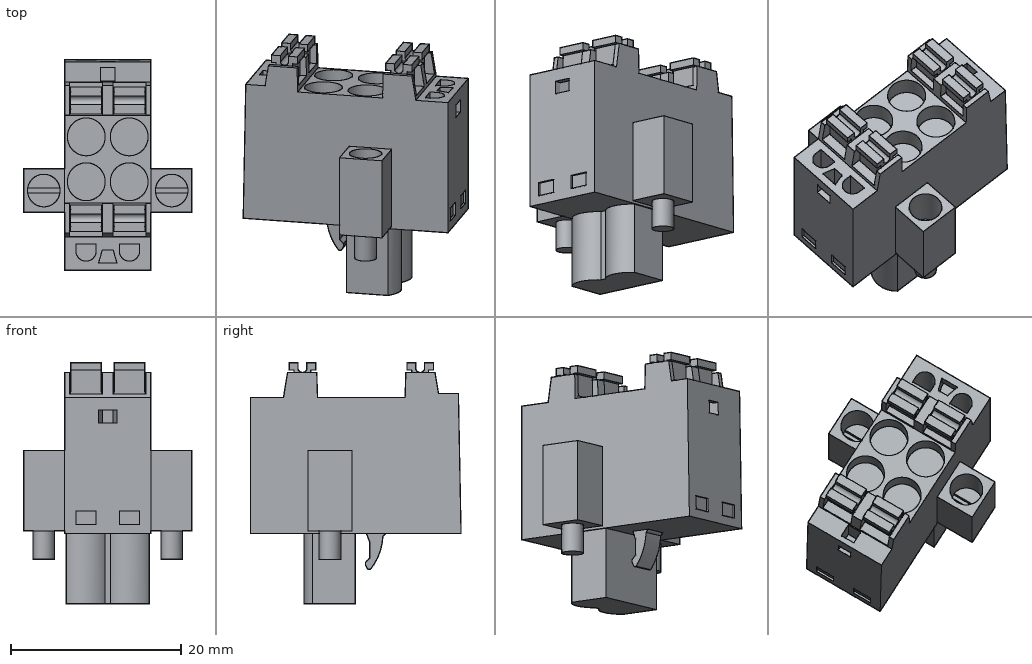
import cadquery as cq


body_width = 10.15
body_bottom = 8.27
deck_z = 24.25
rear_ledge_z = 24.73
rear_bottom_y = 24.75
rear_top_y = 24.45

tower_top_z = 27.2
tower_mid_y = 13.03
tower_inner_top = 5.2
tower_inner_base = 5.13
tower_outer_top = 8.67
tower_outer_base = 9.15

pole_x = 2.55
pole_sides = (-1, 1)
tower_sides = (-1, 1)

pocket_width = 3.82
front_pocket_floor_z = 24.65
rear_pocket_floor_z = 24.93
button_width = 3.63
button_top_z = 28.33
button_head_length = 3.15
button_head_height = 0.88
button_stem_length = 1.98
button_offset = 6.9
groove_width = 1.0
groove_wall_height = 0.8
groove_depth = 1.13

wire_hole_diameter = 4.45
wire_hole_depth = 2.55
wire_hole_x = 2.52
wire_hole_offset = 2.63

probe_radius = 1.2
probe_front_y = 1.08
probe_back_y = 3.05
probe_depth = 7.08

key_bottom_z = 21.28
key_window_height = 1.5
key_front_width = 2.15
key_inner_width = 1.27
key_inner_y = 2.38
key_shaft_front_y = 0.88
rear_key_width = 1.7
rear_key_inner_y = 22.25
rear_key_shaft_y = 23.8

window_width = 2.32
window_height = 1.6
window_bottom_z = 9.35
window_depth = 0.28

flange_span = 19.77
flange_front_y = 6.8
flange_length = 5.13
flange_bottom_z = 8.58
flange_top_z = 18.05
screw_x = 7.5
screw_head_diameter = 3.82
screw_head_bottom_z = 10.28
screw_head_height = 2.55
screw_shank_diameter = 2.55
screw_shank_bottom_z = 5.25
screw_slot_width = 0.6
screw_slot_depth = 0.57
screw_y = flange_front_y + flange_length / 2

plug_width = 9.77
plug_back_y = 12.32
plug_shoulder_y = 7.3
plug_front_y = 6.3
plug_web_width = 0.68

latch_width = 2.83
latch_root_back = (15.9, body_bottom)
latch_neck_back = (15.58, 7.93)
latch_back_bulge = (15.15, 5.9)
latch_tip_back = (14.1, 4.05)
latch_tip_front = (13.8, 4.05)
latch_nose_bottom = (13.5, 4.55)
latch_nose_top = (13.5, 4.9)
latch_throat_bottom = (14.0, 5.38)
latch_throat_top = (14.0, 7.3)
latch_root_front = (13.63, body_bottom)


def box(x_size, y_start, y_end, z_start, z_end, x_center=0.0):
    """A box centred in X and given by its limits in Y and Z."""
    return (
        cq.Workplane("XY")
        .box(x_size, y_end - y_start, z_end - z_start, centered=(True, False, False))
        .translate((x_center, y_start, z_start))
    )


def cylinder(diameter, x, y, z_start, z_end):
    """An upright cylinder between two heights."""
    return (
        cq.Workplane("XY", origin=(x, y, z_start)).circle(diameter / 2).extrude(z_end - z_start)
    )


def make_block():
    """Side profile of the block with its two towers, extruded across the width."""
    front, rear = -1, 1

    def at(side, distance):
        return tower_mid_y + side * distance

    tower_slope = (tower_outer_base - tower_outer_top) / (tower_top_z - deck_z)
    rear_outer_base = tower_outer_base - tower_slope * (rear_ledge_z - deck_z)
    profile = [
        (0, body_bottom),
        (0, deck_z),
        (at(front, tower_outer_base), deck_z),
        (at(front, tower_outer_top), tower_top_z),
        (at(front, tower_inner_top), tower_top_z),
        (at(front, tower_inner_base), deck_z),
        (at(rear, tower_inner_base), deck_z),
        (at(rear, tower_inner_top), tower_top_z),
        (at(rear, tower_outer_top), tower_top_z),
        (at(rear, rear_outer_base), rear_ledge_z),
        (rear_top_y, rear_ledge_z),
        (rear_bottom_y, body_bottom),
    ]
    return cq.Workplane("YZ").polyline(profile).close().extrude(body_width / 2, both=True)


def make_flanges():
    """One bar across the block forms both screw flanges."""
    flange_back_y = flange_front_y + flange_length
    return box(flange_span, flange_front_y, flange_back_y, flange_bottom_z, flange_top_z)


def make_plug():
    """Plug with one rounded front per pole and a flat web between them."""
    half_width = plug_width / 2
    half_web = plug_web_width / 2
    crown_x = (half_width + half_web) / 2
    return (
        cq.Workplane("XY")
        .moveTo(-half_width, plug_back_y)
        .lineTo(-half_width, plug_shoulder_y)
        .threePointArc((-crown_x, plug_front_y), (-half_web, plug_shoulder_y))
        .lineTo(half_web, plug_shoulder_y)
        .threePointArc((crown_x, plug_front_y), (half_width, plug_shoulder_y))
        .lineTo(half_width, plug_back_y)
        .close()
        .extrude(body_bottom)
    )


def make_latch():
    """Hook hanging below the block behind the plug."""
    return (
        cq.Workplane("YZ")
        .moveTo(*latch_root_back)
        .lineTo(*latch_neck_back)
        .threePointArc(latch_back_bulge, latch_tip_back)
        .lineTo(*latch_tip_front)
        .lineTo(*latch_nose_bottom)
        .lineTo(*latch_nose_top)
        .lineTo(*latch_throat_bottom)
        .lineTo(*latch_throat_top)
        .lineTo(*latch_root_front)
        .close()
        .extrude(latch_width / 2, both=True)
    )


def pocket_floor(tower):
    """Height of the pocket floor in the front (-1) or the rear (1) tower."""
    return front_pocket_floor_z if tower < 0 else rear_pocket_floor_z


def make_button_pocket(pole, tower):
    """Pocket open to the top and to both slopes of a tower."""
    reach = tower_outer_base - tower_inner_base
    y_center = tower_mid_y + tower * (tower_inner_base + tower_outer_base) / 2
    return box(
        pocket_width,
        y_center - reach / 2,
        y_center + reach / 2,
        pocket_floor(tower),
        tower_top_z,
        x_center=pole * pole_x,
    )


def make_wire_hole(pole, tower):
    y = tower_mid_y + tower * wire_hole_offset
    return cylinder(wire_hole_diameter, pole * wire_hole_x, y, deck_z - wire_hole_depth, deck_z)


def make_probe_hole(pole):
    """D-shaped blind hole, round towards the front."""
    round_center_y = probe_front_y + probe_radius
    return (
        cq.Workplane("XY", origin=(pole * pole_x, 0, deck_z))
        .moveTo(-probe_radius, probe_back_y)
        .lineTo(-probe_radius, round_center_y)
        .threePointArc((0, probe_front_y), (probe_radius, round_center_y))
        .lineTo(probe_radius, probe_back_y)
        .close()
        .extrude(-probe_depth)
    )


def make_front_key():
    """Window in the front face, leading to a tapered shaft up to the front ledge."""
    half_front = key_front_width / 2
    half_inner = key_inner_width / 2
    window_top_z = key_bottom_z + key_window_height
    shaft_outline = [
        (-half_front, key_shaft_front_y),
        (half_front, key_shaft_front_y),
        (half_inner, key_inner_y),
        (-half_inner, key_inner_y),
    ]
    shaft = (
        cq.Workplane("XY", origin=(0, 0, key_bottom_z))
        .polyline(shaft_outline)
        .close()
        .extrude(deck_z - key_bottom_z)
    )
    return shaft.union(box(key_front_width, 0, key_shaft_front_y, key_bottom_z, window_top_z))


def make_rear_key():
    """Straight window in the rear face, with a shaft up to the rear ledge."""
    window_top_z = key_bottom_z + key_window_height
    window = box(rear_key_width, rear_key_inner_y, rear_bottom_y, key_bottom_z, window_top_z)
    shaft = box(rear_key_width, rear_key_inner_y, rear_key_shaft_y, key_bottom_z, rear_ledge_z)
    return window.union(shaft)


def make_windows(pole):
    """The shallow front and rear windows of one pole."""
    x = pole * pole_x
    top_z = window_bottom_z + window_height
    front = box(window_width, 0, window_depth, window_bottom_z, top_z, x)
    rear = box(window_width, rear_bottom_y - window_depth, rear_bottom_y, window_bottom_z, top_z, x)
    return front.union(rear)


def make_screw_bore(side):
    """Stepped bore that holds one flange screw."""
    x = side * screw_x
    head_bore = cylinder(screw_head_diameter, x, screw_y, screw_head_bottom_z, flange_top_z)
    shank_bore = cylinder(screw_shank_diameter, x, screw_y, flange_bottom_z, screw_head_bottom_z)
    return head_bore.union(shank_bore)


def make_housing():
    housing = make_block().union(make_flanges()).union(make_plug()).union(make_latch())
    housing = housing.cut(make_front_key()).cut(make_rear_key())
    for pole in pole_sides:
        housing = housing.cut(make_probe_hole(pole))
        housing = housing.cut(make_windows(pole))
        housing = housing.cut(make_screw_bore(pole))
        for tower in tower_sides:
            housing = housing.cut(make_button_pocket(pole, tower))
            housing = housing.cut(make_wire_hole(pole, tower))
    return housing


def make_button(pole, tower):
    """T-shaped push button with a round-bottomed screwdriver groove across its head."""
    half_head = button_head_length / 2
    half_stem = button_stem_length / 2
    half_groove = groove_width / 2
    stem_bottom_z = pocket_floor(tower)
    head_bottom_z = button_top_z - button_head_height
    groove_wall_z = button_top_z - groove_wall_height
    profile = (
        cq.Workplane("YZ")
        .moveTo(-half_stem, stem_bottom_z)
        .lineTo(-half_stem, head_bottom_z)
        .lineTo(-half_head, head_bottom_z)
        .lineTo(-half_head, button_top_z)
        .lineTo(-half_groove, button_top_z)
        .lineTo(-half_groove, groove_wall_z)
        .threePointArc((0, button_top_z - groove_depth), (half_groove, groove_wall_z))
        .lineTo(half_groove, button_top_z)
        .lineTo(half_head, button_top_z)
        .lineTo(half_head, head_bottom_z)
        .lineTo(half_stem, head_bottom_z)
        .lineTo(half_stem, stem_bottom_z)
        .close()
    )
    button = profile.extrude(button_width / 2, both=True)
    return button.translate((pole * pole_x, tower_mid_y + tower * button_offset, 0))


def make_screw(side):
    """Slotted cylinder-head screw whose shank sticks out below the flange."""
    x = side * screw_x
    head_top_z = screw_head_bottom_z + screw_head_height
    head = cylinder(screw_head_diameter, x, screw_y, screw_head_bottom_z, head_top_z)
    shank = cylinder(screw_shank_diameter, x, screw_y, screw_shank_bottom_z, screw_head_bottom_z)
    slot = box(
        screw_head_diameter,
        screw_y - screw_slot_width / 2,
        screw_y + screw_slot_width / 2,
        head_top_z - screw_slot_depth,
        head_top_z,
        x_center=x,
    )
    return head.union(shank).cut(slot)


housing = make_housing()
buttons = [make_button(pole, tower) for pole in pole_sides for tower in tower_sides]
screws = [make_screw(side) for side in pole_sides]

result = cq.Compound.makeCompound(
    [
        housing.val(),
        *[button.val() for button in buttons],
        *[screw.val() for screw in screws],
    ]
)